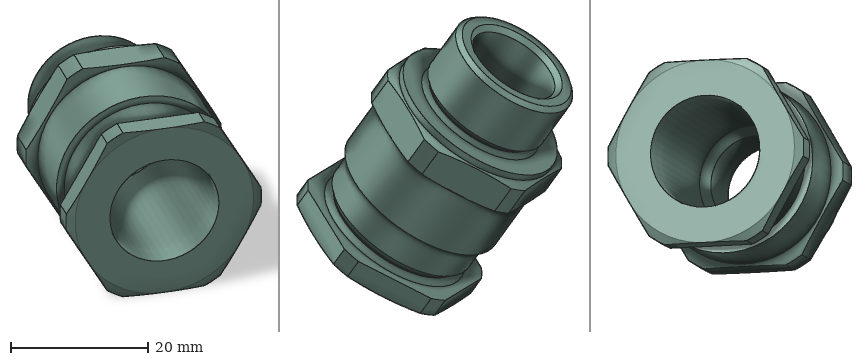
import cadquery as cq
import math

length = 37.6

thread_radius = 10.0
thread_relief_radius = 9.02
collar_radius = 13.15
sleeve_radius = 12.0
neck_radius = 10.9

bore_radius = 7.0
wide_bore_radius = 8.27
bore_chamfer = 0.8
flare_start = 10.0
flare_angle = 40.0
flare_end = flare_start + (wide_bore_radius - bore_radius) / math.tan(math.radians(flare_angle))

end_chamfer = 0.7
thread_end = 8.5
relief_start = 9.48
relief_end = 9.65
collar_start = 10.23

body_hex_start = 11.3
body_hex_end = 16.8
collar_end = 26.6
sleeve_chamfer_start = 32.07
neck_start = 33.28
neck_end = 33.45

across_flats = 27.0
across_rounded_corners = 29.7
cap_hex_start = 34.18
cap_face_radius = 13.55
hex_chamfer_angle = 15.0

across_corners = across_flats / math.cos(math.radians(30))
corner_radius = across_rounded_corners / 2


def revolve_about_x(points):
    """Solid of revolution from (x, radius) points, closed along the X axis."""
    profile = [(points[0][0], 0)] + points + [(points[-1][0], 0)]
    return cq.Workplane("XY").polyline(profile).close().revolve(360, (0, 0, 0), (1, 0, 0))


def hexagon(start, end, left_face_radius, right_face_radius):
    """Hexagonal prism with rounded corners and conical chamfers down to the face radii."""
    slope = math.tan(math.radians(hex_chamfer_angle))
    left_depth = (corner_radius - left_face_radius) * slope
    right_depth = (corner_radius - right_face_radius) * slope
    outline = [(start, left_face_radius)]
    if left_depth > 0:
        outline.append((start + left_depth, corner_radius))
    outline += [(end - right_depth, corner_radius), (end, right_face_radius)]
    prism = (
        cq.Workplane("YZ", origin=(start, 0, 0))
        .polygon(6, across_corners)
        .extrude(end - start)
    )
    return prism.intersect(revolve_about_x(outline))


body = revolve_about_x([
    (0, thread_radius - end_chamfer),
    (end_chamfer, thread_radius),
    (thread_end, thread_radius),
    (relief_start, thread_relief_radius),
    (relief_end, thread_relief_radius),
    (collar_start, thread_radius),
    (collar_start, collar_radius),
    (collar_end, collar_radius),
    (collar_end, sleeve_radius),
    (sleeve_chamfer_start, sleeve_radius),
    (neck_start, neck_radius),
    (neck_end, neck_radius),
    (cap_hex_start, sleeve_radius),
])

body_hex = hexagon(body_hex_start, body_hex_end, collar_radius, collar_radius)
cap_hex = hexagon(cap_hex_start, length, corner_radius, cap_face_radius)

bore = revolve_about_x([
    (0, bore_radius + bore_chamfer),
    (bore_chamfer, bore_radius),
    (flare_start, bore_radius),
    (flare_end, wide_bore_radius),
    (length, wide_bore_radius),
])

result = body.union(body_hex).union(cap_hex).cut(bore)